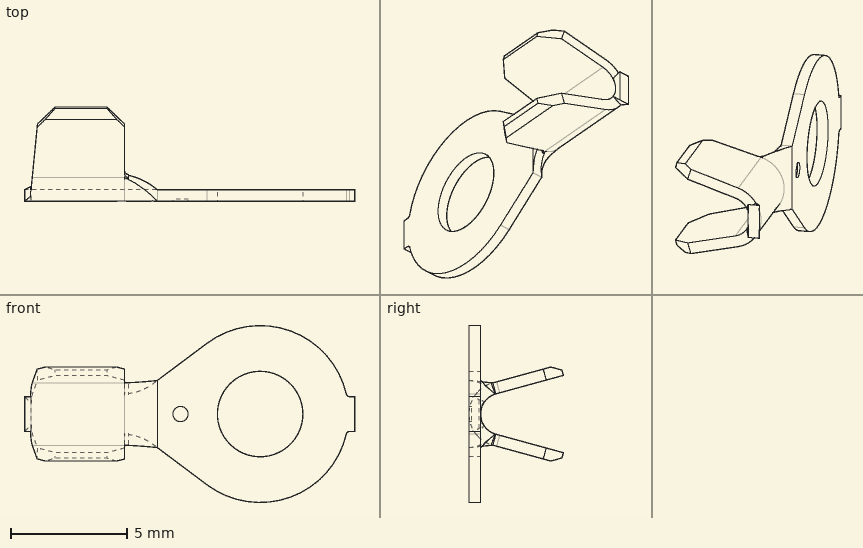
import cadquery as cq
import math


length = 14.22
total_depth = 4.07
sheet = 0.5

ring_radius = 3.81
hole_radius = 1.83
neck_x = -4.42
neck_half_width = 1.45
dimple_x = -3.43
dimple_radius = 0.33
dimple_depth = 0.1

tab_half_width = 0.75
tab_fillet = 0.14
tip_x = 4.08
tail_x = tip_x - length
tail_root_x = -9.87

barrel_radius = 1.4
flare_angle = 15.3
arc_half_angle = 90.0 - flare_angle
barrel_front_x = -5.83
barrel_back_x = -9.91
back_edge_angle = 5.6

wing_front_clip = 0.77
wing_back_clip = 1.1
wing_root_fillet = 0.17
wing_root_sink = 0.07
bevel_length = 0.43
bevel_depth = 0.25

mid_neck_x = -5.2
mid_neck_half_width = 1.38
mid_neck_angle = 52.0

barrel_half_width = barrel_radius * math.sin(math.radians(arc_half_angle))
inner_radius = barrel_radius - sheet
flare = math.radians(flare_angle)
wing_start_y = barrel_radius - inner_radius * math.sin(flare)
wing_length = (total_depth - wing_start_y) / math.cos(flare)


def sheet_section(x, half_width, half_angle):
    """Cross-section of the sheet at x, rolled to an arc; a zero angle leaves it flat."""
    plane = cq.Workplane("YZ", origin=(x, 0, 0))
    if half_angle == 0:
        outline = (
            plane.moveTo(0, -half_width)
            .lineTo(0, half_width)
            .lineTo(sheet, half_width)
            .lineTo(sheet, -half_width)
        )
    else:
        angle = math.radians(half_angle)
        outer = half_width / math.sin(angle)
        inner = outer - sheet
        outer_y = outer - outer * math.cos(angle)
        inner_y = outer - inner * math.cos(angle)
        inner_z = inner * math.sin(angle)
        outline = (
            plane.moveTo(outer_y, -half_width)
            .threePointArc((0, 0), (outer_y, half_width))
            .lineTo(inner_y, inner_z)
            .threePointArc((sheet, 0), (inner_y, -inner_z))
        )
    return outline.close()


def loft_sheet(sections, ruled):
    wires = [sheet_section(*section).val() for section in sections]
    return cq.Workplane(cq.Solid.makeLoft(wires, ruled))


def extrude_sheet(outline):
    """Extrude an outline drawn in XZ from Y = 0 to the sheet thickness."""
    return outline.extrude(-sheet)


def make_ring():
    corner_distance = math.hypot(neck_x, neck_half_width)
    corner_angle = math.atan2(neck_half_width, neck_x)
    tangent_angle = corner_angle - math.acos(ring_radius / corner_distance)
    tangent_x = ring_radius * math.cos(tangent_angle)
    tangent_z = ring_radius * math.sin(tangent_angle)
    ring = extrude_sheet(
        cq.Workplane("XZ")
        .moveTo(neck_x, -neck_half_width)
        .lineTo(tangent_x, -tangent_z)
        .threePointArc((ring_radius, 0), (tangent_x, tangent_z))
        .lineTo(neck_x, neck_half_width)
        .close()
    )
    tab_outline = cq.Workplane("XZ").center(tip_x / 2, 0).rect(tip_x, 2 * tab_half_width)
    tab = extrude_sheet(tab_outline)
    ring = ring.union(tab)
    root_x = math.sqrt(ring_radius**2 - tab_half_width**2)
    margin = 0.01
    roots = cq.selectors.BoxSelector(
        (root_x - margin, -margin, -tab_half_width - margin),
        (root_x + margin, sheet + margin, tab_half_width + margin),
    )
    ring = ring.edges("|Y").edges(roots).fillet(tab_fillet)
    hole = extrude_sheet(cq.Workplane("XZ").circle(hole_radius))
    dimple = cq.Workplane("XZ").center(dimple_x, 0).circle(dimple_radius).extrude(-dimple_depth)
    return ring.cut(hole).cut(dimple)


def make_wing():
    """Upper wing, built upright along Y and then swung outward about the barrel axis."""
    root_y = barrel_radius
    tip_y = root_y + wing_length
    fillet_offset = wing_root_fillet * (1 - math.sqrt(0.5))
    fillet_middle = (barrel_front_x + fillet_offset, root_y + fillet_offset)
    blank = (
        cq.Workplane("XY", origin=(0, 0, inner_radius))
        .moveTo(barrel_back_x, root_y)
        .lineTo(barrel_front_x, root_y)
        .lineTo(barrel_front_x, root_y - wing_root_sink)
        .lineTo(barrel_front_x + wing_root_fillet, root_y - wing_root_sink)
        .lineTo(barrel_front_x + wing_root_fillet, root_y)
        .threePointArc(fillet_middle, (barrel_front_x, root_y + wing_root_fillet))
        .lineTo(barrel_front_x, tip_y - wing_front_clip)
        .lineTo(barrel_front_x - wing_front_clip, tip_y)
        .lineTo(barrel_back_x + wing_back_clip, tip_y)
        .lineTo(barrel_back_x, tip_y - wing_back_clip)
        .close()
        .extrude(sheet)
    )
    bevel = (
        cq.Workplane("YZ", origin=(barrel_back_x, 0, 0))
        .moveTo(tip_y - bevel_length, barrel_radius)
        .lineTo(tip_y, barrel_radius)
        .lineTo(tip_y, barrel_radius - bevel_depth)
        .close()
        .extrude(barrel_front_x - barrel_back_x)
    )
    axis_start = (0, barrel_radius, 0)
    axis_end = (1, barrel_radius, 0)
    return blank.cut(bevel).rotate(axis_start, axis_end, flare_angle)


def make_barrel():
    arc = sheet_section(barrel_back_x, barrel_half_width, arc_half_angle)
    arc = arc.extrude(barrel_front_x - barrel_back_x)
    wing = make_wing()
    barrel = arc.union(wing).union(wing.mirror("XY"))
    full_lean = total_depth * math.tan(math.radians(back_edge_angle))
    back_trim = (
        cq.Workplane("XY")
        .moveTo(barrel_back_x, 0)
        .lineTo(barrel_back_x + full_lean, total_depth)
        .lineTo(barrel_back_x, total_depth)
        .close()
        .extrude(total_depth, both=True)
    )
    return barrel.cut(back_trim)


def make_neck():
    return loft_sheet(
        [
            (barrel_front_x, barrel_half_width, arc_half_angle),
            (mid_neck_x, mid_neck_half_width, mid_neck_angle),
            (neck_x, neck_half_width, 0),
        ],
        ruled=False,
    )


def make_tail_tab():
    root_angle = math.degrees(math.asin(tab_half_width / barrel_radius))
    return loft_sheet(
        [(tail_x, tab_half_width, 0), (tail_root_x, tab_half_width, root_angle)],
        ruled=True,
    )


result = make_ring().union(make_neck()).union(make_barrel()).union(make_tail_tab())